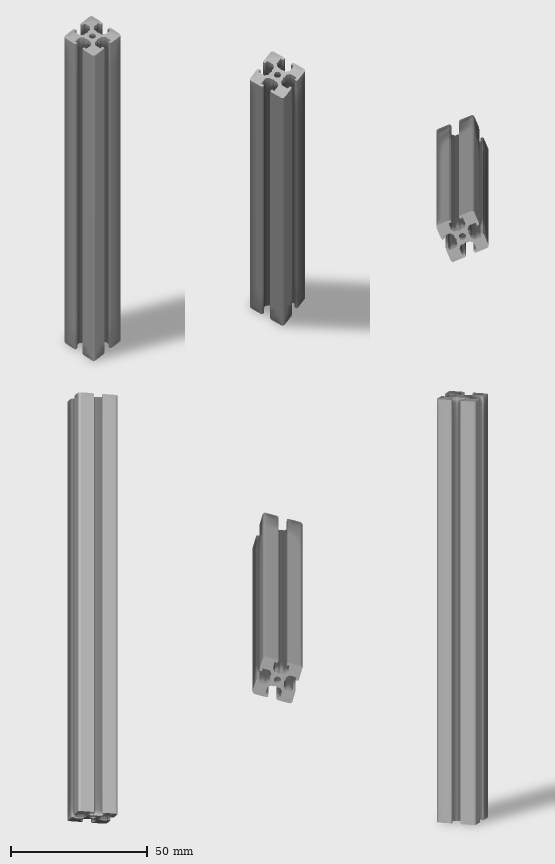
import cadquery as cq

LENGTH = 158.5
SIDE = 15.0
CORNER_RADIUS = 1.0
BORE_DIAMETER = 2.5

OPENING_WIDTH = 3.3
LIP_THICKNESS = 1.1
RECESS_MARGIN = 0.5
RECESS_DEPTH = 0.2
CAVITY_WIDTH = 5.7
CORE_SIDE = 5.5
WEB_OFFSET = 1.0
GROOVE_WIDTH = 1.5
GROOVE_DEPTH = 0.3

SLOT_COUNT = 4


def make_bar():
    """Square bar with rounded long edges and a central bore."""
    bar = cq.Workplane("XY").rect(SIDE, SIDE).extrude(LENGTH)
    bar = bar.edges("|Z").fillet(CORNER_RADIUS)
    return bar.faces(">Z").workplane().hole(BORE_DIAMETER)


def make_slot():
    """Solid filling the T-slot on the +Y side."""
    face = SIDE / 2
    lip = face - LIP_THICKNESS
    floor = CORE_SIDE / 2
    half_opening = OPENING_WIDTH / 2
    half_recess = half_opening + RECESS_MARGIN
    half_cavity = CAVITY_WIDTH / 2
    right_half = [
        (0, floor - GROOVE_DEPTH),
        (GROOVE_WIDTH / 2, floor),
        (floor - WEB_OFFSET, floor),
        (half_cavity, half_cavity + WEB_OFFSET),
        (half_cavity, lip),
        (half_opening, lip),
        (half_opening, face - RECESS_DEPTH),
        (half_recess, face - RECESS_DEPTH),
        (half_recess, face),
    ]
    left_half = [(-x, y) for x, y in reversed(right_half[1:])]
    return cq.Workplane("XY").polyline(right_half + left_half).close().extrude(LENGTH)


result = make_bar()
slot = make_slot()
for index in range(SLOT_COUNT):
    angle = index * 360 / SLOT_COUNT
    result = result.cut(slot.rotate((0, 0, 0), (0, 0, 1), angle))